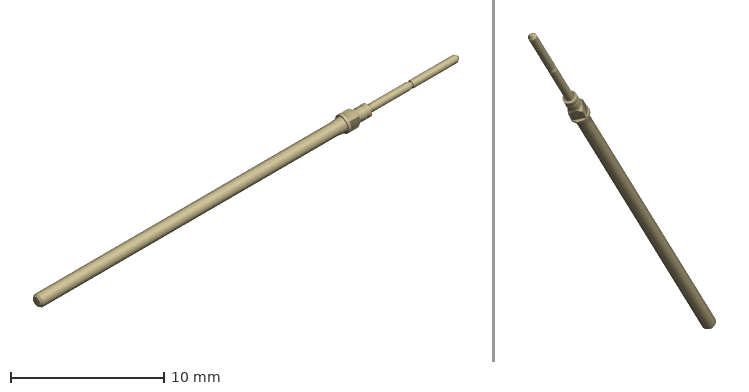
import cadquery as cq


total_length = 35.9
tip_y = total_length / 2
tail_y = -total_length / 2

plunger_radius = 0.3
tip_flat_radius = 0.1
tip_cone_length = 0.25
tip_body_length = 4.0
neck_radius = 0.2
neck_cone_length = 0.28
plunger_length = 7.75

barrel_radius = 0.5
groove_width = 0.2
groove_depth = 0.025
groove_offsets = (0.33, 0.82)
head_length = 1.93

square_side = 2 * barrel_radius
square_length = 0.95
square_cone_length = 0.2

collar_radius = 0.7
collar_thickness = 0.2
runout_radius = 0.57
runout_length = 0.75
tail_end_radius = 0.38
tail_chamfer_length = 0.18

shoulder_y = tip_y - tip_body_length
head_y = tip_y - plunger_length
collar_front_y = head_y - head_length
collar_back_y = collar_front_y - collar_thickness


def revolve_about_axis(profile):
    """Turn a closed (radius, y) profile about the Y axis."""
    return cq.Workplane("XY").polyline(profile).close().revolve(360, (0, 0, 0), (0, 1, 0))


def make_plunger():
    """Pointed plunger with a necked groove behind its tip body."""
    return revolve_about_axis([
        (0, tip_y),
        (tip_flat_radius, tip_y),
        (plunger_radius, tip_y - tip_cone_length),
        (plunger_radius, shoulder_y),
        (neck_radius, shoulder_y),
        (plunger_radius, shoulder_y - neck_cone_length),
        (plunger_radius, head_y),
        (0, head_y),
    ])


def make_barrel():
    """Round head, collar, tapered run-out and chamfered tail."""
    return revolve_about_axis([
        (0, head_y),
        (barrel_radius, head_y),
        (barrel_radius, collar_front_y),
        (collar_radius, collar_front_y),
        (collar_radius, collar_back_y),
        (runout_radius, collar_back_y),
        (barrel_radius, collar_back_y - runout_length),
        (barrel_radius, tail_y + tail_chamfer_length),
        (tail_end_radius, tail_y),
        (0, tail_y),
    ])


def make_groove(centre_y):
    """V-shaped ring to remove from the head."""
    return revolve_about_axis([
        (barrel_radius, centre_y + groove_width / 2),
        (barrel_radius - groove_depth, centre_y),
        (barrel_radius, centre_y - groove_width / 2),
    ])


def make_square():
    """Square section, its corners trimmed to the collar and tapered at the front."""
    front_y = collar_front_y + square_length
    cone_back_y = front_y - square_cone_length
    envelope = revolve_about_axis([
        (0, front_y),
        (barrel_radius, front_y),
        (collar_radius, cone_back_y),
        (collar_radius, collar_front_y),
        (0, collar_front_y),
    ])
    block = cq.Workplane("XY").box(square_side, square_length, square_side)
    block = block.translate((0, collar_front_y + square_length / 2, 0))
    return block.intersect(envelope)


result = make_barrel().union(make_plunger())
for offset in groove_offsets:
    result = result.cut(make_groove(head_y - offset))
result = result.union(make_square())